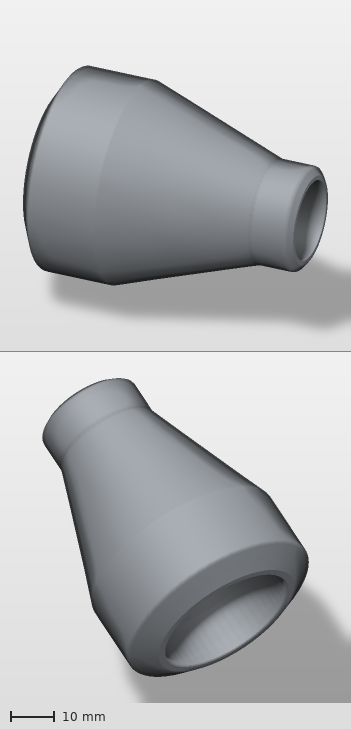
import cadquery as cq
import math

length = 64.0
large_end = 20.0
small_start = 53.95
wide_bore_depth = 11.85

large_radius = 48.3 / 2
small_radius = 25.0 / 2
large_bore_radius = 32.3 / 2
small_bore_radius = 19.0 / 2
large_face_radius = 18.05
small_face_radius = 10.55

large_bevel_angle = math.radians(30)
small_bevel_angle = math.radians(35)
large_bevel = (large_radius - large_face_radius) * math.tan(large_bevel_angle)
small_bevel = (small_radius - small_face_radius) * math.tan(small_bevel_angle)
blend_radius = 1.0
mouth_chamfer = 0.225


def revolve_profile(points):
    """Turn an (x, radius) outline around the X axis."""
    return cq.Workplane("XY").polyline(points).close().revolve(360, (0, 0, 0), (1, 0, 0))


def edge_ring(x, radius):
    """Select the circular edges at station x."""
    margin = 0.005
    return cq.selectors.BoxSelector(
        (x - margin, -radius, -radius), (x + margin, radius, radius), boundingbox=False
    )


body = revolve_profile([
    (0, 0),
    (0, large_face_radius),
    (large_bevel, large_radius),
    (large_end, large_radius),
    (small_start, small_radius),
    (length - small_bevel, small_radius),
    (length, small_face_radius),
    (length, 0),
])
for blend_x in (large_bevel, large_end, small_start, length - small_bevel):
    body = body.edges(edge_ring(blend_x, large_radius)).fillet(blend_radius)

bore = revolve_profile([
    (0, 0),
    (0, large_bore_radius + mouth_chamfer),
    (mouth_chamfer, large_bore_radius),
    (wide_bore_depth, large_bore_radius),
    (small_start, small_bore_radius),
    (length, small_bore_radius),
    (length, 0),
])

result = body.cut(bore)